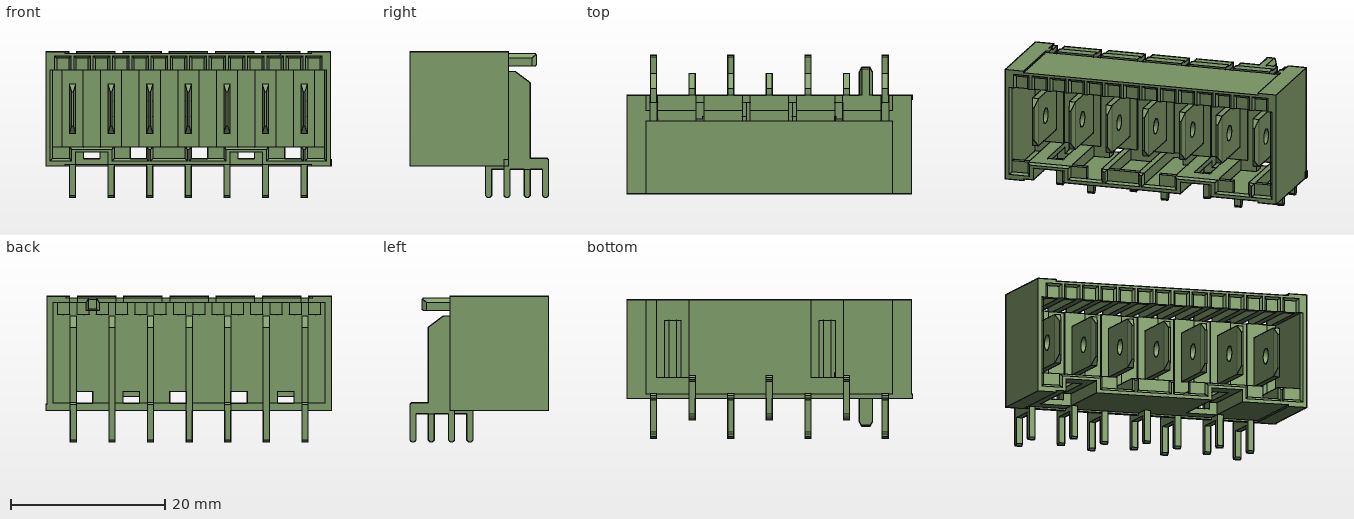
import cadquery as cq

PIN_COUNT = 7
PIN_SPAN = 30.0
PITCH = PIN_SPAN / (PIN_COUNT - 1)
WIDTH = 36.9
DEPTH = 12.8
HEIGHT = 14.85
SKIN = 0.22
RECESS_WIDTH = 31.9
RIDGE_FRONT = 9.47
RIDGE_BACK = 10.85
STRIP_FRONT = 12.25

CAVITY_WIDTH = 35.22
FLOOR = 0.95
RAISED_FLOOR = 2.48
BEAM_BOTTOM = 12.45
ROOF = 14.0
FLARE = 0.3
LIP_BACK = 0.92
WALL_FRONT = 10.05
WALL_BACK = 11.85
COLUMN_FRONT = 9.73
COLUMN_WIDTH = 2.75

RIB_WIDTH = 0.8
BAY_WIDTH = PITCH - RIB_WIDTH
WINDOW_WIDTH = BAY_WIDTH / 2
BRIDGE_BOTTOM = 1.8
BRIDGE_HOLE_FRONT = 2.65
CELL_COUNT = 2 * PIN_COUNT
CELL_PITCH = PITCH / 2
CELL_WIDTH = 1.55
GAP_COUNT = 6
GAP_PITCH = 6.0
GAP_WIDTH = 1.0

PIN_THICKNESS = 0.8
BLADE_TIP = 1.2
BLADE_TAPER = 0.95
BLADE_BOTTOM = 4.2
BLADE_TOP = 10.62
BLADE_TIP_THICKNESS = 0.22
BLADE_TIP_HEIGHT = 4.4
BLADE_HOLE_DIAMETER = 2.0
BLADE_HOLE_Y = 5.18
PIN_TOP = 12.3
PIN_BACK = 15.6
PIN_SHOULDER_Y = 13.65
PIN_SHOULDER_Z = 10.8
ARM_TOP = 1.05
ARM_BOTTOM = -0.4
LEG_BOTTOM = -4.07
LEG_WIDTH = 0.8
LEG_SPACING = PITCH
LONG_PIN_BACK = 18.0
LEG_CHAMFER = 0.25
ARM_CHAMFER = 0.22

PEG_X = 2.5 * PITCH
PEG_WIDTH = 1.75
PEG_TOP_WIDTH = 0.92
PEG_BOTTOM = 12.95
PEG_SLOPE_HEIGHT = 0.63
PEG_TIP = 16.43
PEG_TIP_WIDTH = 1.05
PEG_TAPER = 0.63
PEG_CHAMFER = 0.22
NUB_THICKNESS = 0.1
NUB_DEPTH = 0.6
NUB_HEIGHT = 0.85


def block(x0, x1, y0, y1, z0, z1):
    """Box between two opposite corners."""
    return cq.Workplane("XY").box(x1 - x0, y1 - y0, z1 - z0, centered=False).translate((x0, y0, z0))


def centred_block(x, width, y0, y1, z0, z1):
    """Box of the given width centred on x."""
    return block(x - width / 2, x + width / 2, y0, y1, z0, z1)


def spaced(count, pitch):
    """Positions of evenly spaced features, centred on zero."""
    return [(i - (count - 1) / 2) * pitch for i in range(count)]


def tapered(x, z_front, z_back, width_front, width_back, y_front, y_back):
    """Solid blending a rectangle at y_front into another at y_back."""
    front_height = z_front[1] - z_front[0]
    back_height = z_back[1] - z_back[0]
    front_middle = (z_front[0] + z_front[1]) / 2
    back_middle = (z_back[0] + z_back[1]) / 2
    return (
        cq.Workplane("XZ", origin=(x, y_front, front_middle))
        .rect(width_front, front_height)
        .workplane(offset=y_front - y_back)
        .center(0, back_middle - front_middle)
        .rect(width_back, back_height)
        .loft(ruled=True)
    )


def flared_pocket(x, width, z0, z1, flare_down, flare_up):
    """Shallow mouth pocket whose sides open toward the front."""
    return tapered(x, (z0 - flare_down, z1 + flare_up), (z0, z1), width + 2 * FLARE, width, 0, FLARE)


pin_places = spaced(PIN_COUNT, PITCH)


housing = centred_block(0, WIDTH, 0, DEPTH, 0, HEIGHT)
housing = housing.cut(centred_block(0, RECESS_WIDTH, 0, STRIP_FRONT, 0, SKIN))
for y0, y1 in ((0, RIDGE_FRONT), (RIDGE_BACK, DEPTH)):
    housing = housing.cut(centred_block(0, RECESS_WIDTH, y0, y1, HEIGHT - SKIN, HEIGHT))

housing = housing.cut(centred_block(0, CAVITY_WIDTH, 0, WALL_FRONT, RAISED_FLOOR, BEAM_BOTTOM))
housing = housing.cut(flared_pocket(0, CAVITY_WIDTH, RAISED_FLOOR, BEAM_BOTTOM, FLARE, 0))
housing = housing.cut(centred_block(0, CAVITY_WIDTH, WALL_BACK, DEPTH, FLOOR, ROOF))

for x in spaced(CELL_COUNT, CELL_PITCH):
    housing = housing.cut(flared_pocket(x, CELL_WIDTH, BEAM_BOTTOM, ROOF, 0, FLARE))
    housing = housing.cut(centred_block(x, CELL_WIDTH, LIP_BACK, WALL_BACK, BEAM_BOTTOM, ROOF))


def cut_low_bay(body, x, width):
    """Floor bay behind a front lip."""
    body = body.cut(flared_pocket(x, width, FLOOR, RAISED_FLOOR, FLARE, 0))
    return body.cut(centred_block(x, width, LIP_BACK, WALL_FRONT, FLOOR, RAISED_FLOOR))


def cut_window(body, x, y_front):
    """Slot running back at floor level and out through the back wall."""
    return body.cut(centred_block(x, WINDOW_WIDTH, y_front, DEPTH, FLOOR, RAISED_FLOOR))


def cut_bridge(body, x):
    """Notch under a raised floor, with a slot behind that opens through the floor."""
    body = body.cut(centred_block(x, BAY_WIDTH, 0, WALL_FRONT, 0, BRIDGE_BOTTOM))
    return cut_window(body, x, BRIDGE_HOLE_FRONT)


LEFT_HALF = -WINDOW_WIDTH / 2
RIGHT_HALF = WINDOW_WIDTH / 2
bay_middles = spaced(PIN_COUNT - 1, PITCH)
BRIDGED_BAYS = (0, 4)
WINDOW_OFFSETS = {1: RIGHT_HALF, 3: LEFT_HALF, 5: RIGHT_HALF}
for bay, x in enumerate(bay_middles):
    if bay in BRIDGED_BAYS:
        housing = cut_bridge(housing, x)
    else:
        housing = cut_low_bay(housing, x, BAY_WIDTH)
    if bay in WINDOW_OFFSETS:
        housing = cut_window(housing, x + WINDOW_OFFSETS[bay], 0)

end_bay_inner = pin_places[-1] + RIB_WIDTH / 2
end_bay_width = CAVITY_WIDTH / 2 - end_bay_inner
for side in (-1, 1):
    housing = cut_low_bay(housing, side * (end_bay_inner + end_bay_width / 2), end_bay_width)

for x in pin_places:
    housing = housing.union(
        centred_block(x, COLUMN_WIDTH, COLUMN_FRONT, WALL_FRONT, RAISED_FLOOR, BEAM_BOTTOM)
    )

for x in spaced(GAP_COUNT, GAP_PITCH):
    housing = housing.cut(centred_block(x, GAP_WIDTH, RIDGE_FRONT, DEPTH, ROOF, HEIGHT))

housing = housing.union(
    block(WIDTH / 2, WIDTH / 2 + NUB_THICKNESS, DEPTH - NUB_DEPTH, DEPTH, 0, NUB_HEIGHT)
)


def make_peg():
    """Rear peg with two sloped top edges and a narrowed, chamfered tip."""
    top = HEIGHT - SKIN
    section = (
        cq.Workplane("XZ", origin=(PEG_X, WALL_BACK, 0))
        .moveTo(-PEG_WIDTH / 2, PEG_BOTTOM)
        .lineTo(PEG_WIDTH / 2, PEG_BOTTOM)
        .lineTo(PEG_WIDTH / 2, top - PEG_SLOPE_HEIGHT)
        .lineTo(PEG_TOP_WIDTH / 2, top)
        .lineTo(-PEG_TOP_WIDTH / 2, top)
        .lineTo(-PEG_WIDTH / 2, top - PEG_SLOPE_HEIGHT)
        .close()
        .extrude(WALL_BACK - PEG_TIP)
        .faces(">Y")
        .edges("|X")
        .chamfer(PEG_CHAMFER)
    )
    plan = (
        cq.Workplane("XY", origin=(PEG_X, 0, PEG_BOTTOM))
        .moveTo(-PEG_WIDTH / 2, WALL_BACK)
        .lineTo(PEG_WIDTH / 2, WALL_BACK)
        .lineTo(PEG_WIDTH / 2, PEG_TIP - PEG_TAPER)
        .lineTo(PEG_TIP_WIDTH / 2, PEG_TIP)
        .lineTo(-PEG_TIP_WIDTH / 2, PEG_TIP)
        .lineTo(-PEG_WIDTH / 2, PEG_TIP - PEG_TAPER)
        .close()
        .extrude(top - PEG_BOTTOM)
    )
    return section.intersect(plan)


def make_blade(x):
    """Flat mating blade with a wedge tip and a round hole."""
    middle = (BLADE_BOTTOM + BLADE_TOP) / 2
    shoulder = BLADE_TIP + BLADE_TAPER
    tip_span = (middle - BLADE_TIP_HEIGHT / 2, middle + BLADE_TIP_HEIGHT / 2)
    full_span = (BLADE_BOTTOM, BLADE_TOP)
    shank = centred_block(x, PIN_THICKNESS, shoulder, WALL_FRONT, BLADE_BOTTOM, BLADE_TOP)
    tip = tapered(x, tip_span, full_span, BLADE_TIP_THICKNESS, PIN_THICKNESS, BLADE_TIP, shoulder)
    hole = (
        cq.Workplane("YZ", origin=(x, BLADE_HOLE_Y, middle))
        .circle(BLADE_HOLE_DIAMETER / 2)
        .extrude(PIN_THICKNESS, both=True)
    )
    return shank.union(tip).cut(hole)


def make_tail(x, back):
    """Contact plate behind the wall, with two solder legs; back is the rear edge of the rear leg."""
    left = x - PIN_THICKNESS / 2
    front = back - LEG_SPACING - LEG_WIDTH
    plate = (
        cq.Workplane("YZ", origin=(left, 0, 0))
        .moveTo(WALL_FRONT, ARM_BOTTOM)
        .lineTo(PIN_BACK, ARM_BOTTOM)
        .lineTo(PIN_BACK, PIN_SHOULDER_Z)
        .lineTo(PIN_SHOULDER_Y, PIN_TOP)
        .lineTo(WALL_FRONT, PIN_TOP)
        .close()
        .extrude(PIN_THICKNESS)
    )
    if front > WALL_FRONT:
        plate = plate.cut(centred_block(x, PIN_THICKNESS, WALL_FRONT, front, ARM_BOTTOM, SKIN))
    arm = centred_block(x, PIN_THICKNESS, front, back, ARM_BOTTOM, ARM_TOP)
    if back > PIN_BACK:
        arm = arm.edges(">Y and >Z").chamfer(ARM_CHAMFER)
    tail = plate.union(arm)
    for leg_back in (back, back - LEG_SPACING):
        leg = centred_block(x, PIN_THICKNESS, leg_back - LEG_WIDTH, leg_back, LEG_BOTTOM, 0)
        tail = tail.union(leg.faces("<Z").edges("|X").chamfer(LEG_CHAMFER))
    return tail


result = housing.union(make_peg())
for number, x in enumerate(pin_places):
    tail_back = LONG_PIN_BACK if number % 2 == 0 else PIN_BACK
    result = result.union(make_blade(x)).union(make_tail(x, tail_back))